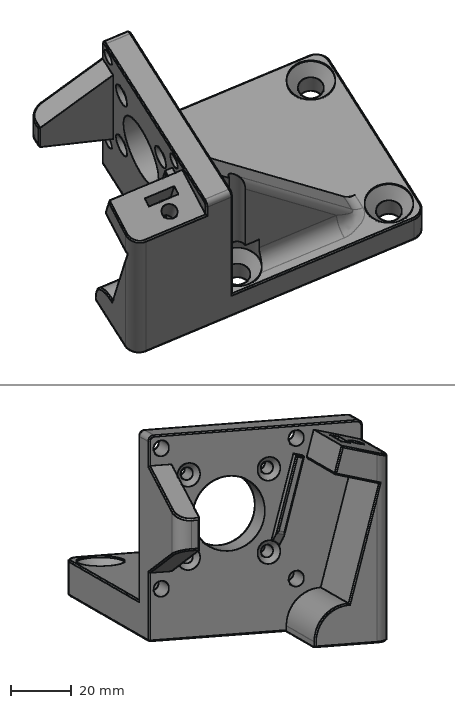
import cadquery as cq
import math

WIDTH = 74.7
LENGTH = 109.0
HEIGHT = 69.2
ARM_LENGTH = 27.3
PLATE_THICKNESS = 9.8
BASE_THICKNESS = 12.0
BASE_END = LENGTH - ARM_LENGTH
CORNER_RADIUS = 5.0
PLATE_CORNER_RADIUS = 2.0
EDGE_BREAK = 0.5
ARM_ROOT = PLATE_THICKNESS / 2

MOTOR_X = 28.0
MOTOR_Z = 41.1
BORE_DIAMETER = 25.2
OUTER_PITCH = 47.2
OUTER_HOLE_DIAMETER = 5.3
INNER_PITCH = 28.0
INNER_HOLE_DIAMETER = 4.2
INNER_SINK_DIAMETER = 8.0

BASE_HOLE_PITCH = 56.0
BASE_HOLE_DIAMETER = 8.5
BASE_SINK_DIAMETER = 16.0
BASE_SINK_LAND = 0.5
BASE_HOLE_LEFT = (WIDTH - BASE_HOLE_PITCH) / 2
BASE_HOLE_RIGHT = BASE_HOLE_LEFT + BASE_HOLE_PITCH
BASE_HOLE_END_GAP = 9.3
BASE_HOLE_BACK = BASE_END - BASE_HOLE_END_GAP
BASE_HOLE_FRONT = BASE_HOLE_BACK - BASE_HOLE_PITCH
SINK_ANGLE = 90

GUSSET_THICKNESS = 8.1
GUSSET_RIGHT = BASE_HOLE_RIGHT
GUSSET_LEFT = GUSSET_RIGHT - GUSSET_THICKNESS
GUSSET_TOP = 67.4
GUSSET_TOE = 51.6
GUSSET_EDGE_RADIUS = 2.4
GUSSET_FOOT_RADIUS = 5.7
HEAD_POCKET_TOP = 22.0
DRIVER_HOLE_DIAMETER = 5.9

LEFT_ARM_WIDTH = 8.0
LEFT_ARM_ROOT_HALF = 18.0
LEFT_ARM_TIP_HALF = 5.2

LEAN = 15
HEAD_CORNER_X = 57.6
HEAD_CORNER_Z = 67.1
HEAD_HEIGHT = 9.8
HEAD_OVERHANG = 16.1
FOOT_RADIUS = 12.0
FOOT_CENTER_Z = 2.0
HEAD_FEATURE_SETBACK = 16.9
SLOT_X = 63.1
SLOT_WIDTH = 3.2
SLOT_LENGTH = 10.9
HEAD_HOLE_X = 68.7
HEAD_HOLE_DIAMETER = 5.3

RIDGE_TOP_X = 52.0
RIDGE_TOP_Z = 59.3
RIDGE_LENGTH = 31.6
RIDGE_RAMP = 5.5
RIDGE_WIDTH = 2.9
RIDGE_HEIGHT = 3.2

ALONG = (math.sin(math.radians(LEAN)), math.cos(math.radians(LEAN)))
ACROSS = (ALONG[1], -ALONG[0])
LEAN_SLOPE = math.tan(math.radians(LEAN))

CLEARANCE = 1.1


def make_body():
    """L-shaped base and plate with rounded corners and broken outline edges."""
    body = (
        cq.Workplane("YZ")
        .polyline([(0, 0), (BASE_END, 0), (BASE_END, BASE_THICKNESS), (PLATE_THICKNESS, BASE_THICKNESS),
                   (PLATE_THICKNESS, HEIGHT), (0, HEIGHT)])
        .close()
        .extrude(WIDTH)
        .edges("|Z and >Y").fillet(CORNER_RADIUS)
        .edges("|Y and >Z").fillet(PLATE_CORNER_RADIUS)
    )
    base_top_edge = body.faces("+Z").faces("<Z").edges("<X")
    plate_back_edge = body.faces("+Y").faces("<Y").edges("<X")
    outline = body.faces("<Z or <Y").edges().add(base_top_edge).add(plate_back_edge)
    return outline.chamfer(EDGE_BREAK)


def make_gusset():
    """Triangular gusset rounded on its right edge, filleted into a slab that lies inside the base."""
    toe_y = PLATE_THICKNESS + GUSSET_TOE
    slab_margin = GUSSET_FOOT_RADIUS + CLEARANCE
    slab_width = GUSSET_THICKNESS + slab_margin
    slab_length = GUSSET_TOE + slab_margin
    slab = cq.Workplane("XY", origin=(GUSSET_LEFT, PLATE_THICKNESS, 0)).box(
        slab_width, slab_length, BASE_THICKNESS, centered=False
    )
    slope_edge = cq.selectors.BoxSelector(
        (GUSSET_RIGHT - CLEARANCE, PLATE_THICKNESS + CLEARANCE, BASE_THICKNESS + CLEARANCE),
        (GUSSET_RIGHT + CLEARANCE, toe_y, GUSSET_TOP),
    )
    wedge = (
        cq.Workplane("YZ", origin=(GUSSET_LEFT, 0, 0))
        .polyline([(PLATE_THICKNESS, 0), (toe_y, 0), (toe_y, BASE_THICKNESS), (PLATE_THICKNESS, GUSSET_TOP)])
        .close()
        .extrude(GUSSET_THICKNESS)
    )
    rounded_wedge = wedge.edges(slope_edge).fillet(GUSSET_EDGE_RADIUS)
    foot_edges = cq.selectors.BoxSelector(
        (GUSSET_LEFT + CLEARANCE, PLATE_THICKNESS + CLEARANCE, BASE_THICKNESS - CLEARANCE),
        (GUSSET_RIGHT + CLEARANCE, toe_y + CLEARANCE, BASE_THICKNESS + CLEARANCE),
    )
    gusset = slab.union(rounded_wedge).edges(foot_edges).fillet(GUSSET_FOOT_RADIUS)
    sharp_zone = cq.Workplane("XY").box(WIDTH, BASE_HOLE_FRONT, HEIGHT, centered=False)
    return gusset.union(wedge.intersect(sharp_zone))


def make_left_arm():
    """Tapered tongue centred on the motor axis."""
    taper = (LEFT_ARM_ROOT_HALF - LEFT_ARM_TIP_HALF) / ARM_LENGTH
    sunk_half = LEFT_ARM_ROOT_HALF + taper * ARM_ROOT
    return (
        cq.Workplane("YZ")
        .polyline([(ARM_ROOT, MOTOR_Z - sunk_half), (-ARM_LENGTH, MOTOR_Z - LEFT_ARM_TIP_HALF),
                   (-ARM_LENGTH, MOTOR_Z + LEFT_ARM_TIP_HALF), (ARM_ROOT, MOTOR_Z + sunk_half)])
        .close()
        .extrude(LEFT_ARM_WIDTH)
        .edges("|Z and <Y and <X").fillet(CORNER_RADIUS)
        .faces("<Y").edges("not (|Z and <X)").chamfer(EDGE_BREAK)
    )


def make_right_arm():
    """Leaning column with a rounded foot and an overhanging head pierced by a slot and a hole."""
    top = (HEAD_CORNER_X, HEAD_CORNER_Z)
    under = (top[0] - HEAD_HEIGHT * ALONG[0], top[1] - HEAD_HEIGHT * ALONG[1])
    throat = (under[0] + HEAD_OVERHANG * ACROSS[0], under[1] + HEAD_OVERHANG * ACROSS[1])
    foot_top_z = FOOT_CENTER_Z + FOOT_RADIUS
    foot_center_x = throat[0] - (throat[1] - foot_top_z) * LEAN_SLOPE
    outer_top_z = top[1] - (WIDTH - top[0]) * LEAN_SLOPE
    diagonal = FOOT_RADIUS * math.sqrt(0.5)
    profile = (
        cq.Workplane("XZ", origin=(0, ARM_ROOT, 0))
        .moveTo(WIDTH, 0)
        .lineTo(foot_center_x - FOOT_RADIUS, 0)
        .lineTo(foot_center_x - FOOT_RADIUS, FOOT_CENTER_Z)
        .threePointArc((foot_center_x - diagonal, FOOT_CENTER_Z + diagonal), (foot_center_x, foot_top_z))
        .lineTo(*throat)
        .lineTo(*under)
        .lineTo(*top)
        .lineTo(WIDTH, outer_top_z)
        .close()
        .extrude(ARM_LENGTH + ARM_ROOT)
    )
    corner_blank = (
        cq.Workplane("XY", origin=(0, -ARM_LENGTH, 0))
        .box(WIDTH, ARM_LENGTH + ARM_ROOT, HEIGHT, centered=False)
        .edges("|Z and <Y and >X").fillet(CORNER_RADIUS)
    )
    arm = (
        profile.edges(cq.selectors.NearestToPointSelector((under[0], -ARM_LENGTH / 2, under[1])))
        .chamfer(EDGE_BREAK)
        .intersect(corner_blank)
        .faces("<Y").edges("not (|Z and >X)").chamfer(EDGE_BREAK)
    )

    def head_plane(x):
        """Plane on the sloping top of the head, its normal pointing up the lean."""
        z = top[1] - (x - top[0]) * LEAN_SLOPE
        center = (x, HEAD_FEATURE_SETBACK - ARM_LENGTH, z)
        return cq.Plane(center, (ACROSS[0], 0, ACROSS[1]), (ALONG[0], 0, ALONG[1]))

    cut_depth = HEAD_HEIGHT + CLEARANCE
    slot = cq.Workplane(head_plane(SLOT_X)).rect(SLOT_WIDTH, SLOT_LENGTH).extrude(-cut_depth)
    hole = cq.Workplane(head_plane(HEAD_HOLE_X)).circle(HEAD_HOLE_DIAMETER / 2).extrude(-cut_depth)
    return arm.cut(slot).cut(hole)


def make_ridge():
    """Leaning ridge with broken edges that ramps down to the plate at its lower end."""
    plane = cq.Plane((RIDGE_TOP_X, 0, RIDGE_TOP_Z), (ALONG[0], 0, ALONG[1]), (ACROSS[0], 0, ACROSS[1]))
    return (
        cq.Workplane(plane)
        .polyline([(0, -ARM_ROOT), (0, RIDGE_HEIGHT), (RIDGE_RAMP - RIDGE_LENGTH, RIDGE_HEIGHT),
                   (-RIDGE_LENGTH, 0), (-RIDGE_LENGTH, -ARM_ROOT)])
        .close()
        .extrude(RIDGE_WIDTH / 2, both=True)
        .faces("<Y").edges().chamfer(EDGE_BREAK)
    )


def cut_motor_holes(part):
    """Central bore, four plain outer holes and four countersunk inner holes."""
    front = cq.Workplane("XZ", origin=(MOTOR_X, 0, MOTOR_Z))
    bore = front.circle(BORE_DIAMETER / 2).extrude(-PLATE_THICKNESS)
    outer_holes = (
        front.rect(OUTER_PITCH, OUTER_PITCH, forConstruction=True).vertices()
        .circle(OUTER_HOLE_DIAMETER / 2).extrude(-PLATE_THICKNESS)
    )
    sink_clearance = (
        front.rect(INNER_PITCH, INNER_PITCH, forConstruction=True).vertices()
        .circle(INNER_SINK_DIAMETER / 2).extrude(RIDGE_HEIGHT)
    )
    part = part.cut(bore).cut(outer_holes).cut(sink_clearance)
    return (
        part.copyWorkplane(front)
        .rect(INNER_PITCH, INNER_PITCH, forConstruction=True).vertices()
        .cskHole(INNER_HOLE_DIAMETER, INNER_SINK_DIAMETER, SINK_ANGLE, PLATE_THICKNESS)
    )


def cut_base_holes(part):
    """Three countersunk holes; the one under the gusset gets head room and a driver hole above it."""
    land_z = BASE_THICKNESS - BASE_SINK_LAND
    sink_plane = cq.Workplane("XY", origin=(0, 0, land_z))
    covered_hole = (BASE_HOLE_RIGHT, BASE_HOLE_FRONT)
    holes = [(BASE_HOLE_LEFT, BASE_HOLE_BACK), (BASE_HOLE_RIGHT, BASE_HOLE_BACK), covered_hole]
    head_room = sink_plane.pushPoints(holes).circle(BASE_SINK_DIAMETER / 2).extrude(HEAD_POCKET_TOP - land_z)
    driver_hole = sink_plane.pushPoints([covered_hole]).circle(DRIVER_HOLE_DIAMETER / 2).extrude(HEIGHT)
    return (
        part.cut(head_room).cut(driver_hole)
        .copyWorkplane(sink_plane)
        .pushPoints(holes)
        .cskHole(BASE_HOLE_DIAMETER, BASE_SINK_DIAMETER, SINK_ANGLE, land_z)
    )


bracket = make_body().union(make_gusset())
bracket = bracket.union(make_left_arm()).union(make_right_arm()).union(make_ridge())
result = cut_base_holes(cut_motor_holes(bracket)).solids()